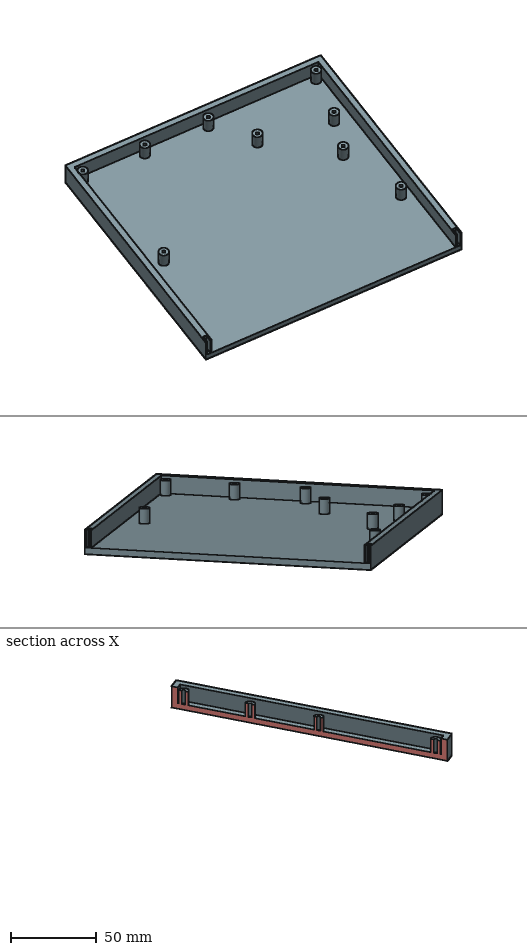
import cadquery as cq

LENGTH_X = 162.94
WIDTH_Y = 173.05
HEIGHT = 14.6

FLOOR_THICKNESS = 4.0
WALL_THICKNESS = 4.0

POST_DIAMETER = 6.2
POST_TOP = 13.0
POST_HOLE_DIAMETER = 2.0

CORNER_RADIUS = 0.5

SLOT_WIDTH = 2.0
SLOT_LENGTH = 5.0

CORNER_POST_INSET = 7.5
CORNER_POST_X = CORNER_POST_INSET - LENGTH_X / 2
CORNER_POST_Y = WIDTH_Y / 2 - CORNER_POST_INSET
WALL_POST_X = -73.6
POST_CENTRES = [
    (CORNER_POST_X, CORNER_POST_Y),
    (CORNER_POST_X, -CORNER_POST_Y),
    (WALL_POST_X, 5.8),
    (WALL_POST_X, -37.2),
    (-40.0, 71.3),
    (-14.0, 62.3),
    (30.4, 75.5),
    (-47.9, 24.0),
    (5.4, -70.6),
]


def make_tray():
    """Floor with walls on three sides, open towards +X, with rounded -X corners."""
    cavity_length = LENGTH_X - WALL_THICKNESS
    cavity_width = WIDTH_Y - 2 * WALL_THICKNESS
    block = cq.Workplane("XY").box(LENGTH_X, WIDTH_Y, HEIGHT, centered=(True, True, False))
    block = block.edges("|Z and <X").fillet(CORNER_RADIUS)
    cavity = (
        cq.Workplane("XY", origin=(WALL_THICKNESS / 2, 0, FLOOR_THICKNESS))
        .box(cavity_length, cavity_width, HEIGHT, centered=(True, True, False))
    )
    return block.cut(cavity)


def make_wall_slot(side):
    """Vertical slot cutter in the side wall at +Y (side = 1) or -Y (side = -1)."""
    wall_centre_y = side * (WIDTH_Y - WALL_THICKNESS) / 2
    wall_height = HEIGHT - FLOOR_THICKNESS
    slot_centre = ((LENGTH_X - SLOT_LENGTH) / 2, wall_centre_y, FLOOR_THICKNESS)
    return (
        cq.Workplane("XY", origin=slot_centre)
        .box(SLOT_LENGTH, SLOT_WIDTH, wall_height, centered=(True, True, False))
    )


def add_posts(tray):
    """Posts with a blind screw hole reaching down to the floor."""
    post_height = POST_TOP - FLOOR_THICKNESS
    floor = cq.Workplane("XY", origin=(0, 0, FLOOR_THICKNESS)).pushPoints(POST_CENTRES)
    posts = floor.circle(POST_DIAMETER / 2).extrude(post_height)
    holes = floor.circle(POST_HOLE_DIAMETER / 2).extrude(post_height)
    return tray.union(posts).cut(holes)


tray = make_tray()
for side in (1, -1):
    tray = tray.cut(make_wall_slot(side))

result = add_posts(tray)